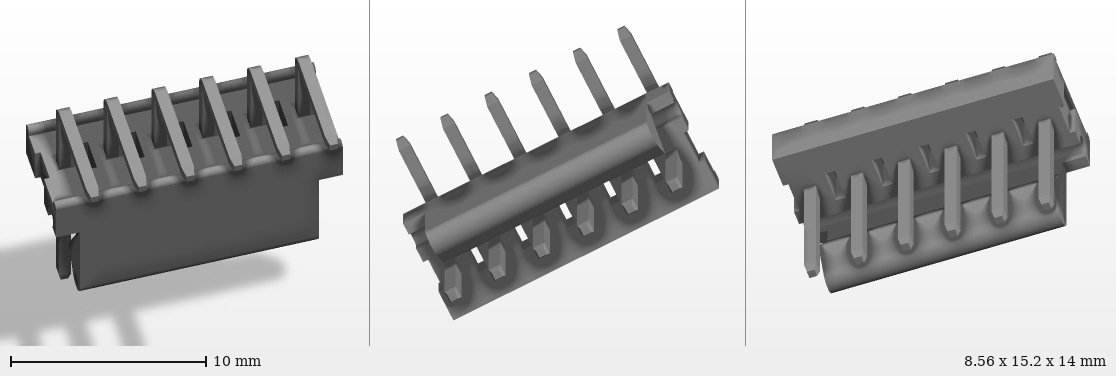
import cadquery as cq
import math


pin_count = 6
housing_length = 15.24
pitch = housing_length / pin_count
pin_row_x = 2.56

pin_size = 0.64
pin_end_x = 8.56
pin_top = 6.55
pin_height = 14.0
pin_bottom = pin_top - pin_height
bend_inner_radius = 0.18
bend_outer_radius = bend_inner_radius + pin_size
tip_length = 0.52
tip_size = 0.41

housing_width = 5.7
deck_height = 2.05
lip_width = 0.53
lip_radius = lip_width / 2
lip_top = 2.53
funnel_size = 1.04
funnel_depth = (funnel_size - pin_size) / 2
slot_length = 1.72
slot_width = 0.53
end_notch_depth = 0.29

groove_radius = 0.45
groove_x = 4.66
groove_z = 0.58

latch_length = (pin_count - 1) * pitch
latch_bottom = -5.33
toe_radius = 0.72
knee_radius = 0.45
knee_z = -3.54
neck_z = -1.16
face_lean = math.radians(30)


def point_on_circle(center, radius, angle):
    return (center[0] + radius * math.cos(angle), center[1] + radius * math.sin(angle))


def extrude_along_row(profile, length):
    """Extrude an XZ outline by a length centred on Y = 0."""
    return profile.close().extrude(length / 2, both=True)


def pin_centers():
    first = -(pin_count - 1) * pitch / 2
    return [first + i * pitch for i in range(pin_count)]


def make_pin(y):
    left = pin_row_x - pin_size / 2
    right = left + pin_size
    arm_bottom = pin_top - pin_size
    bend_center = (left + bend_outer_radius, pin_top - bend_outer_radius)
    arm_end = pin_end_x - tip_length
    leg_end = pin_bottom + tip_length
    bend_middle = math.radians(135)

    profile = (
        cq.Workplane("XZ")
        .moveTo(left, leg_end)
        .lineTo(left, bend_center[1])
        .threePointArc(
            point_on_circle(bend_center, bend_outer_radius, bend_middle),
            (bend_center[0], pin_top),
        )
        .lineTo(arm_end, pin_top)
        .lineTo(arm_end, arm_bottom)
        .lineTo(bend_center[0], arm_bottom)
        .threePointArc(
            point_on_circle(bend_center, bend_inner_radius, bend_middle),
            (right, bend_center[1]),
        )
        .lineTo(right, leg_end)
    )
    shank = extrude_along_row(profile, pin_size)
    leg_tip = make_tip(cq.Plane((pin_row_x, 0, leg_end), (1, 0, 0), (0, 0, -1)))
    arm_tip = make_tip(cq.Plane((arm_end, 0, pin_top - pin_size / 2), (0, 1, 0), (1, 0, 0)))
    return shank.union(leg_tip).union(arm_tip).translate((0, y, 0))


def make_tip(plane):
    """Tapered square end of a pin, pointing along the plane's normal."""
    return (
        cq.Workplane(plane)
        .rect(pin_size, pin_size)
        .workplane(offset=tip_length)
        .rect(tip_size, tip_size)
        .loft(combine=True)
    )


def make_base():
    """Block with a rounded lip along both long sides of its deck."""
    lip_shoulder = lip_top - lip_radius
    inner_lip = housing_width - lip_width
    profile = (
        cq.Workplane("XZ")
        .lineTo(0, lip_shoulder)
        .threePointArc((lip_radius, lip_top), (lip_width, lip_shoulder))
        .lineTo(lip_width, deck_height)
        .lineTo(inner_lip, deck_height)
        .lineTo(inner_lip, lip_shoulder)
        .threePointArc((housing_width - lip_radius, lip_top), (housing_width, lip_shoulder))
        .lineTo(housing_width, 0)
    )
    return extrude_along_row(profile, housing_length)


def latch_points():
    """Ends of the latch neck, then three points on each of the knee and toe arcs."""
    toe_center = (housing_width - toe_radius, latch_bottom + toe_radius)
    lower_normal = math.pi + face_lean
    upper_normal = math.pi - face_lean
    toe_start = point_on_circle(toe_center, toe_radius, lower_normal)

    knee_end_z = knee_z + knee_radius * math.sin(lower_normal)
    knee_end_x = toe_start[0] - (knee_end_z - toe_start[1]) * math.tan(face_lean)
    knee_center = (knee_end_x - knee_radius * math.cos(lower_normal), knee_z)
    knee_start = point_on_circle(knee_center, knee_radius, upper_normal)

    neck_foot = (knee_start[0] + (neck_z - knee_start[1]) * math.tan(face_lean), neck_z)
    run = neck_foot[0] - groove_x
    drop = neck_foot[1] - groove_z
    neck_angle = math.atan2(drop, run) + math.acos(groove_radius / math.hypot(run, drop))
    neck_top = point_on_circle((groove_x, groove_z), groove_radius, neck_angle)

    return {
        "neck_top": neck_top,
        "neck_foot": neck_foot,
        "knee_start": knee_start,
        "knee_middle": point_on_circle(knee_center, knee_radius, math.pi),
        "knee_end": (knee_end_x, knee_end_z),
        "toe_start": toe_start,
        "toe_middle": (toe_center[0], latch_bottom),
        "toe_end": (housing_width, toe_center[1]),
    }


def make_groove(points):
    """Round-topped relief groove, open below, whose right wall follows the latch neck."""
    profile = (
        cq.Workplane("XZ")
        .moveTo(groove_x - groove_radius, neck_z)
        .lineTo(groove_x - groove_radius, groove_z)
        .threePointArc((groove_x, groove_z + groove_radius), points["neck_top"])
        .lineTo(*points["neck_foot"])
    )
    return extrude_along_row(profile, housing_length)


def make_latch(points):
    """Flexible latch arm, with its root buried in the wall beside the groove."""
    profile = (
        cq.Workplane("XZ")
        .moveTo(*points["neck_top"])
        .lineTo(*points["neck_foot"])
        .lineTo(*points["knee_start"])
        .threePointArc(points["knee_middle"], points["knee_end"])
        .lineTo(*points["toe_start"])
        .threePointArc(points["toe_middle"], points["toe_end"])
        .lineTo(housing_width, points["neck_top"][1])
    )
    return extrude_along_row(profile, latch_length)


def make_funnel(y):
    """Tapered lead-in that narrows from the deck down to the pin."""
    return (
        cq.Workplane("XY", origin=(pin_row_x, y, deck_height))
        .rect(funnel_size, funnel_size)
        .workplane(offset=-funnel_depth)
        .rect(pin_size, pin_size)
        .loft(combine=True)
    )


def through_cut(centers, size_x, size_y):
    """Rectangular cutters through the full height of the deck."""
    return (
        cq.Workplane("XY")
        .pushPoints([(pin_row_x, y) for y in centers])
        .rect(size_x, size_y)
        .extrude(deck_height)
    )


def make_housing():
    points = latch_points()
    body = make_base().cut(make_groove(points)).union(make_latch(points))

    slot_centers = [y + pitch / 2 for y in pin_centers()[:-1]]
    body = body.cut(through_cut(slot_centers, slot_length, slot_width))

    end_faces = [-housing_length / 2, housing_length / 2]
    body = body.cut(through_cut(end_faces, slot_length, 2 * end_notch_depth))

    body = body.cut(through_cut(pin_centers(), pin_size, pin_size))
    for y in pin_centers():
        body = body.cut(make_funnel(y))
    return body


housing = make_housing()
pins = [make_pin(y) for y in pin_centers()]

result = cq.Compound.makeCompound([housing.solids().val(), *[pin.solids().val() for pin in pins]])